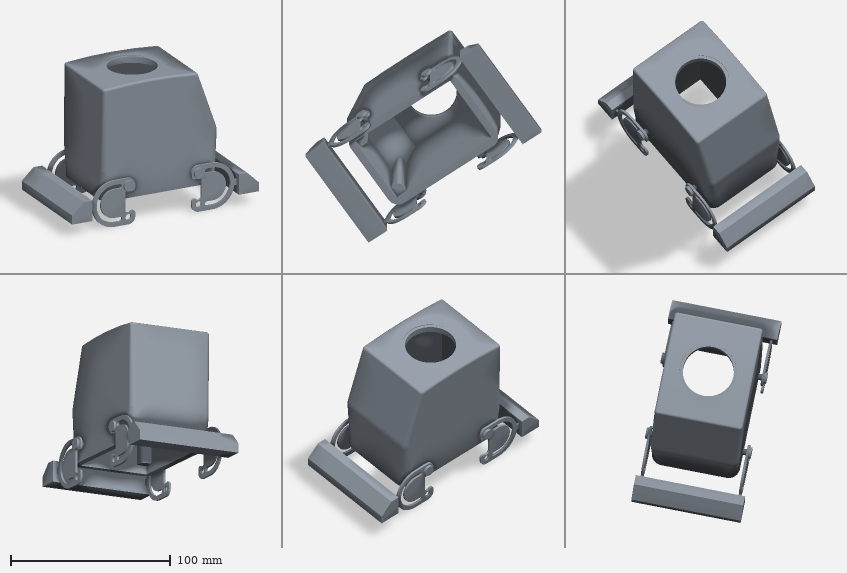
import cadquery as cq
import math


HOOD_HALF_X = 28.2
BASE_HALF_Y = 40.9
FRAME_BOTTOM_Z = 16.0
FRAME_TOP_Z = 21.5
TOP_Z = 93.0
FRONT_TOP_Y = -40.1
FRONT_TOP_Z = 91.2
SHOULDER_Y = 40.5
SHOULDER_Z = 52.0
REAR_TOP_Y = 26.5
REAR_TOP_Z = 91.3
ROOF_FILLET = 1.6
SHOULDER_BEND_R = 9.9
WALL = 4.6
CEILING_Z = 88.5

POST_FACE_Y = 29.5
POST_W = 6.8
POST_R = 2.6

BASE_CORNER_R = 7.2
KNEE_Z = 36.2
FRONT_KNEE_R = 3.3
SHOULDER_R = 2.9
TOP_CORNER_R = 1.8
PICK_BAND = 0.1
CUT_MARGIN = 1.3

ENTRY_Y = -5.9
ENTRY_R = 16.0
SPOT_R = 18.0
SPOT_Z = TOP_Z - 0.46

PLATE_INNER_X = 30.7
PLATE_T = 1.5
LEVER_R = 15.5
LEVER_AXIS_Y = 34.5
SLOT_R = 11.0
SLOT_W = 3.0
SLOT_END_Y = 29.2
MOUTH_Y = 26.8
LOBE_R = 4.9
LOBE_Y = 24.7
LOBE_HOLE_R = 2.0
TIP_R = 2.0
NOTCH_R = MOUTH_Y - LOBE_Y
NOTCH_Z = 9.9
PIN_HEAD_R = 3.5
PIN_HEAD_X = 33.8
PIN_Z = 2 * LEVER_R - LOBE_R

BAR_HALF_X = 35.0
BAR_OUTER_Y = 65.8
BAR_INNER_Y = 51.6
BAR_BOTTOM_Z = 7.8
BAR_TOP_Z = FRAME_TOP_Z
BAR_FLANK_Z = 13.7
BAR_RIDGE_Y = 57.6
TAB_H = 4.0


def front_y(z):
    """Y of the drafted front wall at height z."""
    share = (z - FRAME_TOP_Z) / (FRONT_TOP_Z - FRAME_TOP_Z)
    return -BASE_HALF_Y + share * (FRONT_TOP_Y + BASE_HALF_Y)


def rear_y(z):
    """Y of the rear wall, or of the rear slope above the shoulder, at height z."""
    if z <= SHOULDER_Z:
        share = (z - FRAME_TOP_Z) / (SHOULDER_Z - FRAME_TOP_Z)
        return BASE_HALF_Y + share * (SHOULDER_Y - BASE_HALF_Y)
    share = (z - SHOULDER_Z) / (REAR_TOP_Z - SHOULDER_Z)
    return SHOULDER_Y + share * (REAR_TOP_Y - SHOULDER_Y)


def extrude_across(profile, half_x):
    """Extrude a YZ profile symmetrically across X."""
    return profile.extrude(half_x, both=True)


def hood_block():
    profile = (
        cq.Workplane("YZ")
        .moveTo(-BASE_HALF_Y, FRAME_TOP_Z)
        .lineTo(FRONT_TOP_Y, FRONT_TOP_Z)
        .threePointArc((ENTRY_Y, TOP_Z), (REAR_TOP_Y, REAR_TOP_Z))
        .lineTo(SHOULDER_Y, SHOULDER_Z)
        .lineTo(BASE_HALF_Y, FRAME_TOP_Z)
        .close()
    )
    return extrude_across(profile, HOOD_HALF_X)


def corner_section(side_x, wall_y, side_y, radius, z):
    """Area outside a corner arc at height z; side_x and side_y are the signs of the corner."""
    edge_x = side_x * HOOD_HALF_X
    centre_x = edge_x - side_x * radius
    centre_y = wall_y - side_y * radius
    arc_mid = radius * math.sqrt(0.5)
    out_x = edge_x + side_x * CUT_MARGIN
    out_y = wall_y + side_y * CUT_MARGIN
    return (
        cq.Workplane("XY", origin=(0, 0, z))
        .moveTo(edge_x, centre_y)
        .threePointArc((centre_x + side_x * arc_mid, centre_y + side_y * arc_mid), (centre_x, wall_y))
        .lineTo(centre_x, out_y)
        .lineTo(out_x, out_y)
        .lineTo(out_x, centre_y)
        .close()
        .wire()
        .val()
    )


def corner_cutter(side_x, side_y):
    if side_y < 0:
        wall_at = front_y
        stations = [(FRAME_TOP_Z, BASE_CORNER_R), (KNEE_Z, FRONT_KNEE_R)]
    else:
        wall_at = rear_y
        stations = [(FRAME_TOP_Z, BASE_CORNER_R), (SHOULDER_Z, SHOULDER_R)]
    stations.append((TOP_Z, TOP_CORNER_R))
    sections = [corner_section(side_x, wall_at(z), side_y, radius, z) for z, radius in stations]
    return cq.Workplane(obj=cq.Solid.makeLoft(sections, True))


def shoulder_selector():
    """Picks the bend between rear wall and rear slope, including its two rounded ends."""
    low = (-HOOD_HALF_X, 0, SHOULDER_Z - PICK_BAND)
    high = (HOOD_HALF_X, BASE_HALF_Y, SHOULDER_Z + PICK_BAND)
    return cq.selectors.BoxSelector(low, high)


def hood_shell():
    shell = hood_block()
    for side_x in (-1, 1):
        for side_y in (-1, 1):
            shell = shell.cut(corner_cutter(side_x, side_y))
    shell = shell.edges(shoulder_selector()).fillet(SHOULDER_BEND_R)
    shell = shell.faces(">Z").edges().fillet(ROOF_FILLET)
    post = rear_post()
    cavity = hood_cavity().cut(post).cut(post.mirror("YZ"))
    return shell.cut(cavity).cut(cable_entry())


def hood_cavity():
    """Open-bottomed space that follows the outer walls at wall thickness."""
    slope = math.atan2(SHOULDER_Y - REAR_TOP_Y, REAR_TOP_Z - SHOULDER_Z)
    slope_inset = WALL / math.cos(slope)
    profile = (
        cq.Workplane("YZ")
        .moveTo(-BASE_HALF_Y + WALL, FRAME_BOTTOM_Z)
        .lineTo(-BASE_HALF_Y + WALL, CEILING_Z)
        .lineTo(rear_y(CEILING_Z) - slope_inset, CEILING_Z)
        .lineTo(rear_y(SHOULDER_Z) - slope_inset, SHOULDER_Z)
        .lineTo(BASE_HALF_Y - WALL, FRAME_BOTTOM_Z)
        .close()
    )
    return extrude_across(profile, HOOD_HALF_X - WALL)


def rear_post():
    """Vertical post with one rounded edge, filling the +X rear corner of the cavity."""
    inner_x = HOOD_HALF_X - WALL - POST_W
    post = (
        cq.Workplane("XY", origin=(inner_x, POST_FACE_Y, FRAME_TOP_Z))
        .rect(POST_W, BASE_HALF_Y - POST_FACE_Y, centered=False)
        .extrude(CEILING_Z - FRAME_TOP_Z)
    )
    return post.edges("|Z and <Y and <X").fillet(POST_R)


def cable_entry():
    """Round hole through the roof with a flat spot face around it."""
    roof = cq.Workplane("XY", origin=(0, ENTRY_Y, SPOT_Z))
    bore = roof.circle(ENTRY_R).extrude(CEILING_Z - WALL - SPOT_Z)
    spot_face = roof.circle(SPOT_R).extrude(TOP_Z + CUT_MARGIN - SPOT_Z)
    return bore.union(spot_face)


def lever_outline():
    """D-shaped plate with two rounded lobes, drawn in YZ for the +Y lever."""
    tip_y = LOBE_Y - LOBE_R + TIP_R
    reach = TIP_R + NOTCH_R
    tip_z = NOTCH_Z - math.sqrt(reach**2 - (LOBE_Y - tip_y) ** 2)
    meet_y = tip_y + (LOBE_Y - tip_y) * TIP_R / reach
    meet_z = tip_z + (NOTCH_Z - tip_z) * TIP_R / reach
    diagonal = math.sqrt(0.5)
    height = 2 * LEVER_R
    return (
        cq.Workplane("YZ")
        .moveTo(LEVER_AXIS_Y, 0)
        .lineTo(LOBE_Y, 0)
        .threePointArc((LOBE_Y - LOBE_R * diagonal, LOBE_R * (1 - diagonal)), (LOBE_Y - LOBE_R, LOBE_R))
        .lineTo(tip_y - TIP_R, tip_z)
        .threePointArc((tip_y, tip_z + TIP_R), (meet_y, meet_z))
        .threePointArc((LOBE_Y, NOTCH_Z - NOTCH_R), (MOUTH_Y, NOTCH_Z))
        .lineTo(MOUTH_Y, height - NOTCH_Z)
        .threePointArc((LOBE_Y, height - NOTCH_Z + NOTCH_R), (meet_y, height - meet_z))
        .threePointArc((tip_y, height - tip_z - TIP_R), (tip_y - TIP_R, height - tip_z))
        .lineTo(LOBE_Y - LOBE_R, height - LOBE_R)
        .threePointArc(
            (LOBE_Y - LOBE_R * diagonal, height - LOBE_R * (1 - diagonal)), (LOBE_Y, height)
        )
        .lineTo(LEVER_AXIS_Y, height)
        .threePointArc((LEVER_AXIS_Y + LEVER_R, LEVER_R), (LEVER_AXIS_Y, 0))
        .close()
    )


def curved_slot():
    """C-shaped slot with round ends, concentric with the plate."""
    outer = SLOT_R + SLOT_W / 2
    inner = SLOT_R - SLOT_W / 2
    end_y = SLOT_END_Y + SLOT_W / 2
    return (
        cq.Workplane("YZ")
        .moveTo(LEVER_AXIS_Y, LEVER_R - outer)
        .lineTo(end_y, LEVER_R - outer)
        .threePointArc((SLOT_END_Y, LEVER_R - SLOT_R), (end_y, LEVER_R - inner))
        .lineTo(LEVER_AXIS_Y, LEVER_R - inner)
        .threePointArc((LEVER_AXIS_Y + inner, LEVER_R), (LEVER_AXIS_Y, LEVER_R + inner))
        .lineTo(end_y, LEVER_R + inner)
        .threePointArc((SLOT_END_Y, LEVER_R + SLOT_R), (end_y, LEVER_R + outer))
        .lineTo(LEVER_AXIS_Y, LEVER_R + outer)
        .threePointArc((LEVER_AXIS_Y + outer, LEVER_R), (LEVER_AXIS_Y, LEVER_R - outer))
        .close()
    )


def lever_plate():
    """Plate on the +X side of the +Y lever, with the web that reaches its grip bar."""
    lobe_hole = cq.Workplane("YZ").center(LOBE_Y, LOBE_R).circle(LOBE_HOLE_R)
    plate = lever_outline().extrude(PLATE_T)
    web_y = LEVER_AXIS_Y + SLOT_R + SLOT_W
    web = (
        cq.Workplane("YZ")
        .center((web_y + BAR_INNER_Y) / 2, LEVER_R)
        .rect(BAR_INNER_Y - web_y, TAB_H)
        .extrude(PLATE_T)
    )
    plate = plate.union(web).cut(curved_slot().extrude(PLATE_T)).cut(lobe_hole.extrude(PLATE_T))
    return plate.translate((PLATE_INNER_X, 0, 0))


def pivot_pin():
    """Headed pin that carries the lever plate on the hood's +X wall."""
    pin = cq.Workplane("YZ", origin=(HOOD_HALF_X - WALL / 2, LOBE_Y, PIN_Z))
    shank = pin.circle(LOBE_HOLE_R).extrude(PLATE_INNER_X + PLATE_T - HOOD_HALF_X + WALL / 2)
    head_base_x = PLATE_INNER_X + PLATE_T
    head = cq.Workplane("YZ", origin=(head_base_x, LOBE_Y, PIN_Z)).circle(PIN_HEAD_R)
    return shank.union(head.extrude(PIN_HEAD_X - head_base_x))


def grip_bar():
    profile = (
        cq.Workplane("YZ")
        .moveTo(BAR_INNER_Y, BAR_BOTTOM_Z)
        .lineTo(BAR_OUTER_Y, BAR_BOTTOM_Z)
        .lineTo(BAR_OUTER_Y, BAR_FLANK_Z)
        .lineTo(BAR_RIDGE_Y, BAR_TOP_Z)
        .lineTo(BAR_INNER_Y, BAR_TOP_Z)
        .close()
    )
    return extrude_across(profile, BAR_HALF_X)


def lever():
    """Complete +Y lever: two pinned plates and the bar across them."""
    side = lever_plate().union(pivot_pin())
    return grip_bar().union(side).union(side.mirror("YZ"))


def make_hood():
    rear_lever = lever()
    return hood_shell().union(rear_lever).union(rear_lever.mirror("XZ"))


def make_seal_frame():
    """Rectangular frame under the hood, flush with its outer walls."""
    height = FRAME_TOP_Z - FRAME_BOTTOM_Z
    frame = (
        cq.Workplane("XY", origin=(0, 0, FRAME_BOTTOM_Z))
        .rect(2 * HOOD_HALF_X, 2 * BASE_HALF_Y)
        .extrude(height)
        .edges("|Z")
        .fillet(BASE_CORNER_R)
    )
    return frame.cut(hood_cavity())


hood = make_hood()
seal_frame = make_seal_frame()

result = cq.Compound.makeCompound([hood.val(), seal_frame.val()])